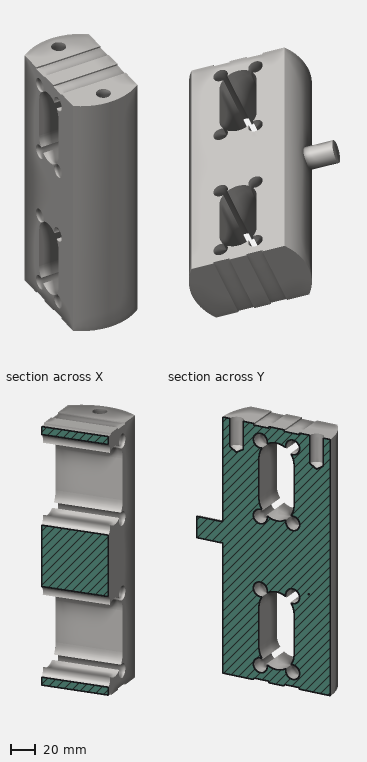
import cadquery as cq
import math

height = 226.0
body_diameter = 100.1
thickness = 60.0

overall_width = 124.0
pin_diameter = 19.2
pin_z = 11.0

window_width = 32.0
window_height = 68.0
window_z = 65.5
corner_hole_diameter = 12.5
corner_spacing_x = 30.0
corner_spacing_z = 67.0

groove_inner_x = 7.2
groove_outer_x = 21.0
groove_depth = 1.4

drill_diameter = 12.2
drill_spacing = 74.1
drill_depth = 24.9
drill_point_angle = 118.0


def make_body():
    bar = cq.Workplane("XY").circle(body_diameter / 2).extrude(height / 2, both=True)
    return bar.intersect(cq.Workplane("XY").box(body_diameter, thickness, height))


def make_pin():
    tip_distance = overall_width - body_diameter / 2
    return (
        cq.Workplane("YZ")
        .center(0, pin_z)
        .circle(pin_diameter / 2)
        .extrude(-tip_distance)
    )


def make_window(center_z):
    """Cutter for one round-ended window and the holes at its corners."""
    plane = cq.Workplane("XZ").center(0, center_z)
    slot = plane.slot2D(window_height, window_width, 90).extrude(thickness, both=True)
    holes = (
        plane.rect(corner_spacing_x, corner_spacing_z, forConstruction=True)
        .vertices()
        .circle(corner_hole_diameter / 2)
        .extrude(thickness, both=True)
    )
    return slot.union(holes)


def make_end_grooves(end_z):
    """Cutter for both grooves of one end face; the box is half outside the body."""
    groove_x = (groove_inner_x + groove_outer_x) / 2
    return (
        cq.Workplane("XY", origin=(0, 0, end_z))
        .pushPoints([(-groove_x, 0), (groove_x, 0)])
        .box(groove_outer_x - groove_inner_x, thickness, 2 * groove_depth)
    )


def make_drilled_hole(x):
    """Cutter for one blind hole: a cylinder that ends in a cone."""
    radius = drill_diameter / 2
    point_length = radius / math.tan(math.radians(drill_point_angle / 2))
    return (
        cq.Workplane("XZ")
        .polyline([
            (0, 0),
            (radius, 0),
            (radius, -drill_depth),
            (0, -drill_depth - point_length),
        ])
        .close()
        .revolve(360, (0, 0), (0, 1))
        .translate((x, 0, height / 2))
    )


result = make_body().union(make_pin())
for side in (-1, 1):
    result = result.cut(make_window(side * window_z))
    result = result.cut(make_end_grooves(side * height / 2))
    result = result.cut(make_drilled_hole(side * drill_spacing / 2))